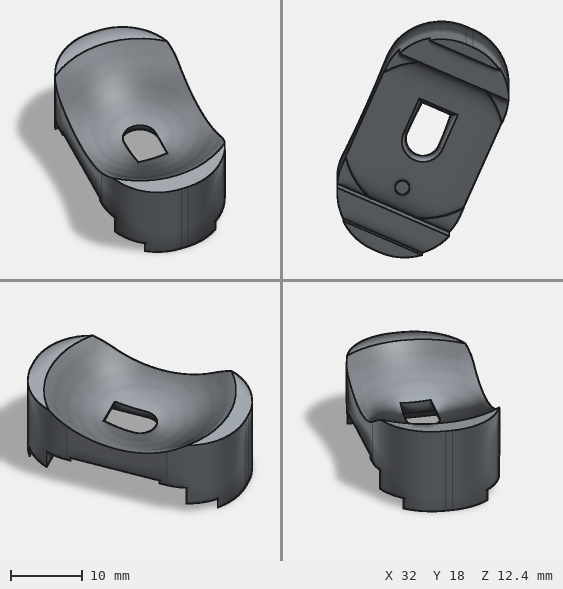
import cadquery as cq

LENGTH = 32.0
WIDTH = 18.0
HEIGHT = 12.4
CORNER_RADIUS = 8.5

DISH_RADIUS = 18.0
DISH_DEPTH = 6.0

STEP_CENTER_X = 0.25
TAB_GAP = 28.4
TAB_HEIGHT = 1.6
LEG_GAP = 21.0
BODY_UNDERSIDE_Z = 4.5

RECESS_RADIUS = 11.16
RECESS_DEPTH = 0.5

PAD_DIAMETER = 2.0
PAD_CENTER_X = -7.15

WINDOW_RADIUS = 2.94
WINDOW_RIGHT_X = 5.38
WINDOW_DRAFT = 20.0
WINDOW_CUT_HEIGHT = 4.0


def make_body():
    return (
        cq.Workplane("XY")
        .rect(LENGTH, WIDTH)
        .extrude(HEIGHT)
        .edges("|Z")
        .fillet(CORNER_RADIUS)
    )


def make_dish():
    center_z = HEIGHT - DISH_DEPTH + DISH_RADIUS
    return cq.Workplane("XY").sphere(DISH_RADIUS).translate((0, 0, center_z))


def make_step(gap, top_z):
    """Full-width block that clears everything below top_z over the given X length."""
    return (
        cq.Workplane("XY")
        .center(STEP_CENTER_X, 0)
        .rect(gap, WIDTH)
        .extrude(top_z)
    )


def make_underside_disc(center_x, radius):
    """Disc filling the recess depth, used for the recess and for the pad inside it."""
    return (
        cq.Workplane("XY")
        .workplane(offset=BODY_UNDERSIDE_Z)
        .center(center_x, 0)
        .circle(radius)
        .extrude(RECESS_DEPTH)
    )


def make_recess():
    recess = make_underside_disc(STEP_CENTER_X, RECESS_RADIUS)
    pad = make_underside_disc(PAD_CENTER_X, PAD_DIAMETER / 2)
    return recess.cut(pad)


def make_window():
    """Drafted cutter from the recess ceiling up into the open dish."""
    recess_ceiling_z = BODY_UNDERSIDE_Z + RECESS_DEPTH
    return (
        cq.Workplane("XY")
        .workplane(offset=recess_ceiling_z)
        .moveTo(0, WINDOW_RADIUS)
        .threePointArc((-WINDOW_RADIUS, 0), (0, -WINDOW_RADIUS))
        .lineTo(WINDOW_RIGHT_X, -WINDOW_RADIUS)
        .lineTo(WINDOW_RIGHT_X, WINDOW_RADIUS)
        .close()
        .extrude(WINDOW_CUT_HEIGHT, taper=WINDOW_DRAFT)
    )


result = (
    make_body()
    .cut(make_dish())
    .cut(make_step(TAB_GAP, TAB_HEIGHT))
    .cut(make_step(LEG_GAP, BODY_UNDERSIDE_Z))
    .cut(make_recess())
    .cut(make_window())
)